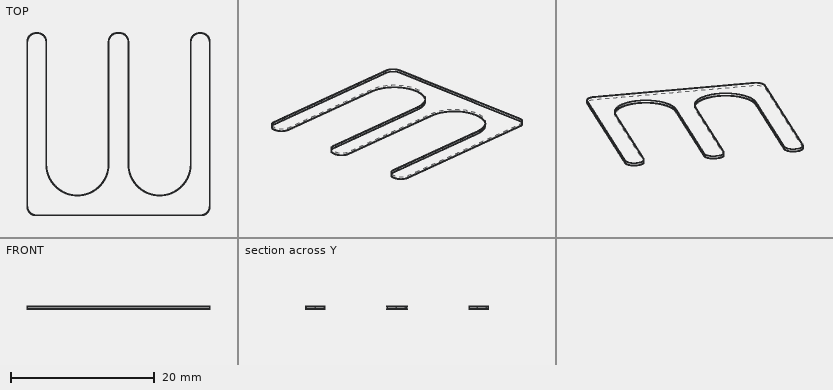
import cadquery as cq

plate_size = 25.4
thickness = 0.38
corner_radius = 1.27
slot_width = 8.636
slot_pitch = 11.43
base_web = 2.794

half_size = plate_size / 2
slot_radius = slot_width / 2
slot_arc_center_y = -half_size + base_web + slot_radius


def square_plate():
    return cq.Workplane("XY").rect(plate_size, plate_size).extrude(thickness)


def open_slot(center_x):
    """U-shaped cutter with a round floor, open at the +Y edge."""
    return (
        cq.Workplane("XY")
        .moveTo(center_x - slot_radius, half_size)
        .lineTo(center_x - slot_radius, slot_arc_center_y)
        .threePointArc(
            (center_x, slot_arc_center_y - slot_radius),
            (center_x + slot_radius, slot_arc_center_y),
        )
        .lineTo(center_x + slot_radius, half_size)
        .close()
        .extrude(thickness)
    )


def round_outer_corners(body):
    """Round the tine tips and the two base corners."""
    tips = body.faces(">Y").edges("|Z")
    base_corners = body.faces("<Y").edges("|Z")
    return body.newObject(tips.vals() + base_corners.vals()).fillet(corner_radius)


fork = square_plate()
for side in (-1, 1):
    fork = fork.cut(open_slot(side * slot_pitch / 2))

result = round_outer_corners(fork)